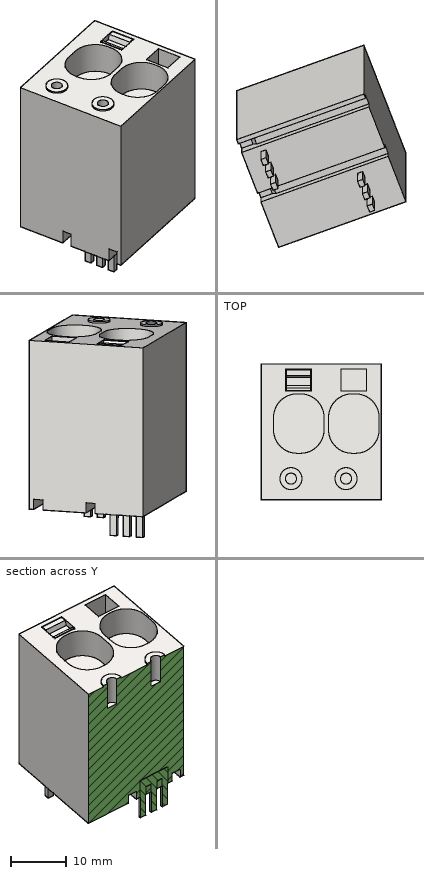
import cadquery as cq
import math


WIDTH = 21.8
DEPTH = 24.7
HEIGHT = 31.3
POLE_PITCH = 10.0
POLE_COUNT = 2

WIRE_X = 6.82
WIRE_Y = 13.85
WIRE_WIDTH = 9.2
WIRE_LENGTH = 10.8
WIRE_END_FLAT = 0.6
WIRE_CORNER_RADIUS = (WIRE_WIDTH - WIRE_END_FLAT) / 2
WIRE_DEPTH = 6.0

SLOT_X = 6.77
SLOT_WIDTH = 4.65
SLOT_LENGTH = 4.0
SLOT_BACK_WALL = 0.95
SLOT_DEPTH = 6.0
SLOT_Y = DEPTH - SLOT_BACK_WALL - SLOT_LENGTH / 2

SOCKET_X = 5.4
SOCKET_Y = 3.85
COLLAR_DIAMETER = 4.0
COLLAR_HEIGHT = 0.3
BORE_DIAMETER = 2.0
BORE_DEPTH = 6.0

NOTCH_X = 10.08
NOTCH_WIDTH = 1.75
NOTCH_FRONT_HEIGHT = 2.7
NOTCH_BACK_HEIGHT = 1.9
NOTCH_ARC_RADIUS = 3.5

BUTTON_GAP = 0.13
BUTTON_BACK_LAND = 1.04
BUTTON_FRONT_LAND = 0.4
GROOVE_DEPTH = 0.95
GROOVE_BACK_RUN = 0.38
GROOVE_FRONT_RUN = 0.53

PIN_WIDTH = 1.25
PIN_THICKNESS = 1.0
PIN_LENGTH = 5.0
PIN_PITCH = 2.5
PIN_COUNT = 3
FIRST_PIN_X = 2.5
FRONT_ROW_Y = 3.85
ROW_SPACING = 15.0
BAR_BOTTOM = 2.0
BAR_HEIGHT = 2.0
ROW_Y = [FRONT_ROW_Y + ROW_SPACING, FRONT_ROW_Y]


def pole_points(x, y):
    """The same place on every pole."""
    return [(x + pole * POLE_PITCH, y) for pole in range(POLE_COUNT)]


def top_plane():
    return cq.Workplane("XY").workplane(offset=HEIGHT)


def make_contact(pole):
    """One comb-shaped contact, its pins hanging from a straight bar."""
    row_y = ROW_Y[pole]
    first_x = FIRST_PIN_X + pole * POLE_PITCH
    pin_xs = [first_x + i * PIN_PITCH for i in range(PIN_COUNT)]
    bar_length = pin_xs[-1] - pin_xs[0] + PIN_WIDTH
    bar_center_x = (pin_xs[0] + pin_xs[-1]) / 2
    bar = (
        cq.Workplane("XY")
        .workplane(offset=BAR_BOTTOM)
        .center(bar_center_x, row_y)
        .rect(bar_length, PIN_THICKNESS)
        .extrude(BAR_HEIGHT)
    )
    pins = (
        cq.Workplane("XY")
        .workplane(offset=-PIN_LENGTH)
        .pushPoints([(x, row_y) for x in pin_xs])
        .rect(PIN_WIDTH, PIN_THICKNESS)
        .extrude(PIN_LENGTH + BAR_BOTTOM)
    )
    return bar.union(pins)


def make_button():
    """Push button standing on the slot floor, its top level with the housing."""
    back = SLOT_Y + SLOT_LENGTH / 2 - BUTTON_GAP
    front = SLOT_Y - SLOT_LENGTH / 2 + BUTTON_GAP
    floor = HEIGHT - SLOT_DEPTH
    groove_floor = HEIGHT - GROOVE_DEPTH
    groove_back = back - BUTTON_BACK_LAND
    groove_front = front + BUTTON_FRONT_LAND
    profile = [
        (front, floor),
        (back, floor),
        (back, HEIGHT),
        (groove_back, HEIGHT),
        (groove_back - GROOVE_BACK_RUN, groove_floor),
        (groove_front + GROOVE_FRONT_RUN, groove_floor),
        (groove_front, HEIGHT),
        (front, HEIGHT),
    ]
    width = SLOT_WIDTH - 2 * BUTTON_GAP
    return (
        cq.Workplane("YZ")
        .workplane(offset=SLOT_X - width / 2)
        .polyline(profile)
        .close()
        .extrude(width)
    )


def make_notch(pole):
    """Cutter for one underside notch, open at the front and the back."""
    left = NOTCH_X + pole * POLE_PITCH - NOTCH_WIDTH / 2
    start_angle = math.asin(NOTCH_FRONT_HEIGHT / NOTCH_ARC_RADIUS)
    end_angle = math.asin(NOTCH_BACK_HEIGHT / NOTCH_ARC_RADIUS)
    middle_angle = (start_angle + end_angle) / 2

    def arc_point(angle):
        return (NOTCH_ARC_RADIUS * math.cos(angle), NOTCH_ARC_RADIUS * math.sin(angle))

    return (
        cq.Workplane("YZ")
        .workplane(offset=left)
        .lineTo(0, NOTCH_FRONT_HEIGHT)
        .lineTo(*arc_point(start_angle))
        .threePointArc(arc_point(middle_angle), arc_point(end_angle))
        .lineTo(DEPTH, NOTCH_BACK_HEIGHT)
        .lineTo(DEPTH, 0)
        .close()
        .extrude(NOTCH_WIDTH)
    )


def make_housing(contacts):
    body = cq.Workplane("XY").box(WIDTH, DEPTH, HEIGHT, centered=False)

    collars = (
        top_plane()
        .pushPoints(pole_points(SOCKET_X, SOCKET_Y))
        .circle(COLLAR_DIAMETER / 2)
        .extrude(COLLAR_HEIGHT)
    )
    bores = (
        top_plane()
        .workplane(offset=COLLAR_HEIGHT)
        .pushPoints(pole_points(SOCKET_X, SOCKET_Y))
        .circle(BORE_DIAMETER / 2)
        .extrude(-BORE_DEPTH)
    )
    wire_entries = (
        top_plane()
        .pushPoints(pole_points(WIRE_X, WIRE_Y))
        .rect(WIRE_WIDTH, WIRE_LENGTH)
        .extrude(-WIRE_DEPTH)
        .edges("|Z")
        .fillet(WIRE_CORNER_RADIUS)
    )
    button_slots = (
        top_plane()
        .pushPoints(pole_points(SLOT_X, SLOT_Y))
        .rect(SLOT_WIDTH, SLOT_LENGTH)
        .extrude(-SLOT_DEPTH)
    )
    body = body.union(collars).cut(bores).cut(wire_entries).cut(button_slots)

    for pole in range(POLE_COUNT):
        body = body.cut(make_notch(pole))

    for contact in contacts:
        body = body.cut(contact)
    return body


contacts = [make_contact(pole) for pole in range(POLE_COUNT)]
button = make_button()
housing = make_housing(contacts)

result = cq.Compound.makeCompound(
    [housing.val(), button.val(), *[contact.val() for contact in contacts]]
)